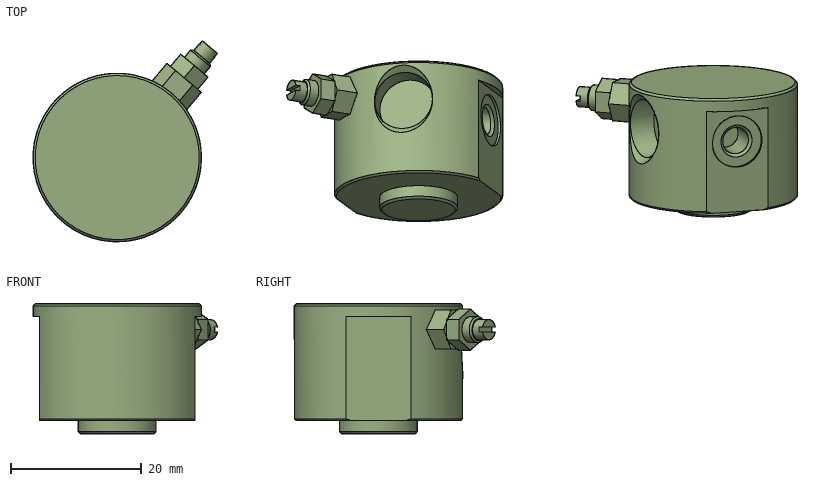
import cadquery as cq
import math

body_diameter = 25.91
body_height = 18.0
top_chamfer = 0.35
bottom_chamfer = 0.3
body_radius = body_diameter / 2

boss_diameter = 12.0
boss_height = 2.04
boss_chamfer = 0.35

flat_distance = 11.96
rim_height = 2.0
flat_height = body_height - rim_height

inlet_z = body_height - 7.0
spotface_diameter = 8.0
spotface_depth = 0.4
inlet_entry_diameter = 5.0
inlet_diameter = 4.13
inlet_depth = 6.0
inlet_countersink = (inlet_entry_diameter - inlet_diameter) / 2

port_angle = 101.0
port_z = body_height - 6.1
port_diameter = 9.0
port_mouth_diameter = 10.8
port_depth = 5.0
port_lead_in = (port_mouth_diameter - port_diameter) / 2

nipple_angle = 50.0
nipple_z = body_height - 4.0
nipple_root = 11.5
base_hex_flats = 6.0
base_hex_end = 16.0
nut_hex_flats = 5.5
nut_hex_end = 18.45
collar_diameter = 4.0
collar_end_diameter = 3.4
collar_end = 20.2
collar_chamfer = (collar_diameter - collar_end_diameter) / 2
screw_diameter = 3.14
screw_end = 22.16
slot_width = 0.8
slot_depth = 0.7


def radial_plane(angle, distance, height):
    """Plane facing outward from the body axis, with its local Y along Z."""
    turn = math.radians(angle)
    outward = (math.cos(turn), math.sin(turn), 0)
    sideways = (-math.sin(turn), math.cos(turn), 0)
    origin = (distance * outward[0], distance * outward[1], height)
    return cq.Plane(origin=origin, xDir=sideways, normal=outward)


def cone_cut(plane, mouth_diameter, depth):
    """45 degree cone narrowing inward from the plane, flared equally outside it."""
    mouth_radius = mouth_diameter / 2
    outer_plane = cq.Workplane(plane).workplane(offset=depth)
    return outer_plane.circle(mouth_radius + depth).extrude(-2 * depth, taper=45)


def make_body():
    body = cq.Workplane("XY").circle(body_radius).extrude(body_height)
    body = body.faces(">Z").chamfer(top_chamfer)
    body = body.faces("<Z").chamfer(bottom_chamfer)
    boss = cq.Workplane("XY").circle(boss_diameter / 2).extrude(-boss_height)
    return body.union(boss.faces("<Z").chamfer(boss_chamfer))


def cut_flats(body):
    flat_thickness = body_radius - flat_distance
    for side in (-1, 1):
        cutter = cq.Workplane("XY").box(
            flat_thickness, body_diameter, flat_height, centered=(True, True, False)
        )
        body = body.cut(cutter.translate((side * (flat_distance + flat_thickness / 2), 0, 0)))
    return body


def cut_inlet(body):
    flat_plane = radial_plane(180, flat_distance, inlet_z)
    seat_plane = radial_plane(180, flat_distance - spotface_depth, inlet_z)
    spotface = cq.Workplane(flat_plane).circle(spotface_diameter / 2).extrude(-spotface_depth)
    bore = cq.Workplane(flat_plane).circle(inlet_diameter / 2).extrude(-inlet_depth)
    countersink = cone_cut(seat_plane, inlet_entry_diameter, inlet_countersink)
    return body.cut(spotface).cut(bore).cut(countersink)


def cut_port(body):
    mouth_plane = radial_plane(port_angle, body_radius, port_z)
    bore = cq.Workplane(mouth_plane).circle(port_diameter / 2).extrude(-port_depth)
    lead_in = cone_cut(mouth_plane, port_mouth_diameter, port_lead_in)
    return body.cut(bore).cut(lead_in)


def nipple_plane(distance):
    return radial_plane(nipple_angle, distance, nipple_z)


def hexagon(start, end, across_flats, turn):
    """Hexagonal length of the nipple; a turn of 0 puts two corners sideways."""
    across_corners = across_flats / math.cos(math.radians(30))
    plane = nipple_plane(start).rotated((0, 0, turn))
    return cq.Workplane(plane).polygon(6, across_corners).extrude(end - start)


def round_length(start, end, diameter):
    return cq.Workplane(nipple_plane(start)).circle(diameter / 2).extrude(end - start)


def make_nipple():
    base = hexagon(nipple_root, base_hex_end, base_hex_flats, 0)
    nut = hexagon(base_hex_end, nut_hex_end, nut_hex_flats, 90)
    collar = round_length(nut_hex_end, collar_end, collar_diameter)
    end_face = cq.selectors.NearestToPointSelector(nipple_plane(collar_end).origin.toTuple())
    collar = collar.faces(end_face).chamfer(collar_chamfer)
    screw = round_length(collar_end, screw_end, screw_diameter)
    slot = cq.Workplane(nipple_plane(screw_end)).rect(screw_diameter, slot_width).extrude(-slot_depth)
    return base.union(nut).union(collar).union(screw.cut(slot))


housing = cut_port(cut_inlet(cut_flats(make_body())))
result = housing.union(make_nipple())